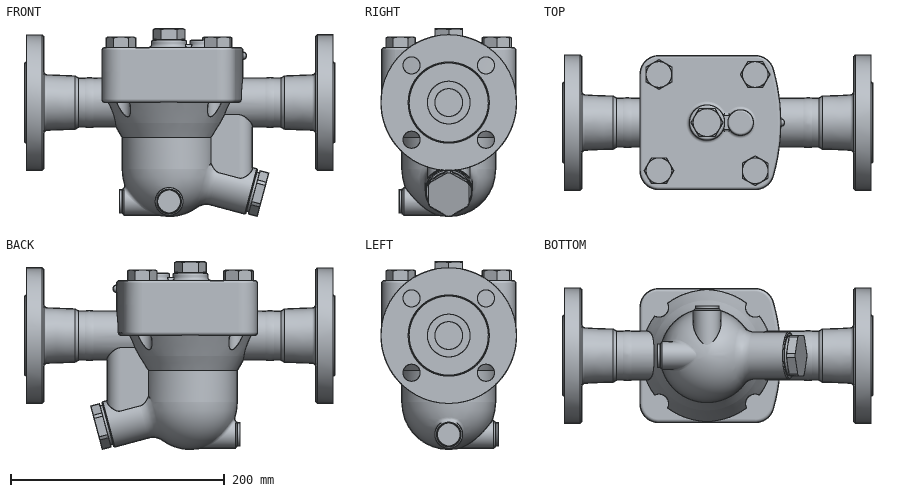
import cadquery as cq
import math


PICK_MARGIN = 0.5

FACE_TO_FACE = 290.0
PIPE_CENTRE_X = 10.0
PIPE_RADIUS = 23.0
FLANGE_RADIUS = 63.5
FLANGE_THICKNESS = 18.0
FLANGE_EDGE_CHAMFER = 1.8
RAISED_FACE_HEIGHT = 1.6
RAISED_FACE_RADIUS = 38.0
RAISED_FACE_TAPER = 1.0
NECK_FILLET = 3.0
NECK_ROOT_RADIUS = 26.0
NECK_END_RADIUS = 25.0
NECK_END = 47.0
NECK_STEP_LENGTH = 3.5
BEAD_START = 56.5
BEAD_LENGTH = 8.0
BEAD_HEIGHT = 0.5
SOCKET_DIAMETER = 40.0
SOCKET_DEPTH = 10.0
BORE_DIAMETER = 26.0
BORE_DEPTH = 40.0
FLANGE_HOLE_DIAMETER = 16.0
FLANGE_HOLE_CIRCLE = 98.4
FLANGE_HOLE_COUNT = 4

HEAD_HALF_WIDTH = 62.75
HEAD_BULGE_X = 69.0
HEAD_BOTTOM_Z = 0.0
JOINT_Z = 29.0
COVER_TOP_Z = 51.4
COVER_EDGE_ROUND = 2.5
HEAD_BOTTOM_ROUND = 3.0
NUB_RADIUS = 3.5
NUB_Z = 43.8

BOLT_OFFSET = 45.0
BOLT_ACROSS_FLATS = 24.0
HEX_HEIGHT = 10.0
HEX_CHAMFER_HEIGHT = 1.0
SPOTFACE_RADIUS = 9.0
SPOTFACE_DEPTH = 20.0

MAIN_PAD_RADIUS = 16.5
SIDE_PAD_RADIUS = 12.0
SIDE_PAD_X = 31.4
PAD_HEIGHT = 7.0
PAD_ROUND = 2.0
PAD_BASE_FILLET = 3.0
WEB_WIDTH = 13.0
WEB_HEIGHT = 3.1
PLUG_TOP_Z = 69.1
PLUG_ACROSS_FLATS = 26.0
PLUG_NECK_RADIUS = 12.0

BOWL_RADIUS = 44.0
DOME_CENTRE_Z = -62.6
CONE_BOTTOM_Z = -32.7
CONE_BREAK_Z = -19.5
CONE_BREAK_RADIUS = 51.5
CONE_TOP_Z = 2.5
CONE_TOP_RADIUS = 62.6

BLOCK_END_X = 78.0
BLOCK_HALF_WIDTH = 20.0
BLOCK_CORNER_RADIUS = 12.7
STRAINER_MEETING_X = 60.0

STRAINER_TILT = 15.0
STRAINER_RADIUS = 22.0
STRAINER_ROOT = 46.0
STRAINER_LENGTH = 80.0
STRAINER_CHAMFER = 1.0
CAP_NECK_RADIUS = 19.0
CAP_START = 82.5
CAP_END = 91.0
CAP_ACROSS_FLATS = 38.0
CAP_DIAMETER = 42.0

DRAIN_Z = -92.5
DRAIN_BOSS_RADIUS = 13.0
DRAIN_BOSS_LENGTH = 43.5
DRAIN_BOSS_CHAMFER = 1.5
DRAIN_GROOVE_RADIUS = 10.5
DRAIN_GROOVE_WIDTH = 0.7
DRAIN_PLUG_RADIUS = 11.0
DRAIN_PLUG_END = 46.5
DRAIN_ROOT_FILLET = 3.0


def hexagon(across_flats, height):
    """Hexagonal prism standing on Z = 0 with two corners on the X axis."""
    return cq.Workplane("XY").polygon(6, across_flats / math.cos(math.pi / 6)).extrude(height)


def hex_head(across_flats):
    """Hexagonal head on Z = 0 whose top corners are chamfered down to the flats."""
    flat_radius = across_flats / 2
    corner_radius = flat_radius / math.cos(math.pi / 6)
    envelope = (
        cq.Workplane("XZ")
        .lineTo(corner_radius, 0)
        .lineTo(corner_radius, HEX_HEIGHT - HEX_CHAMFER_HEIGHT)
        .lineTo(flat_radius, HEX_HEIGHT)
        .lineTo(0, HEX_HEIGHT)
        .close()
        .revolve()
    )
    return hexagon(across_flats, HEX_HEIGHT).intersect(envelope)


def pipe_arm():
    """One flanged arm, revolved about Z with its sealing face at Z = 0 and the pipe running up."""
    neck_start = FLANGE_THICKNESS + NECK_FILLET
    fillet_middle = NECK_FILLET * (1 - math.sqrt(0.5))
    step_end = NECK_END + NECK_STEP_LENGTH
    bead_end = BEAD_START + BEAD_LENGTH
    arm = (
        cq.Workplane("XZ")
        .lineTo(RAISED_FACE_RADIUS - RAISED_FACE_TAPER, 0)
        .lineTo(RAISED_FACE_RADIUS, RAISED_FACE_HEIGHT)
        .lineTo(FLANGE_RADIUS, RAISED_FACE_HEIGHT)
        .lineTo(FLANGE_RADIUS, FLANGE_THICKNESS - FLANGE_EDGE_CHAMFER)
        .lineTo(FLANGE_RADIUS - FLANGE_EDGE_CHAMFER, FLANGE_THICKNESS)
        .lineTo(NECK_ROOT_RADIUS + NECK_FILLET, FLANGE_THICKNESS)
        .threePointArc(
            (NECK_ROOT_RADIUS + fillet_middle, FLANGE_THICKNESS + fillet_middle),
            (NECK_ROOT_RADIUS, neck_start),
        )
        .lineTo(NECK_END_RADIUS, NECK_END)
        .lineTo(PIPE_RADIUS, step_end)
        .lineTo(PIPE_RADIUS, BEAD_START)
        .threePointArc(
            (PIPE_RADIUS + BEAD_HEIGHT, BEAD_START + BEAD_LENGTH / 2),
            (PIPE_RADIUS, bead_end),
        )
        .lineTo(PIPE_RADIUS, FACE_TO_FACE / 2)
        .lineTo(0, FACE_TO_FACE / 2)
        .close()
        .revolve()
    )
    bolt_holes = (
        cq.Workplane("XY")
        .polarArray(FLANGE_HOLE_CIRCLE / 2, 180 / FLANGE_HOLE_COUNT, 360, FLANGE_HOLE_COUNT)
        .circle(FLANGE_HOLE_DIAMETER / 2)
        .extrude(FLANGE_THICKNESS)
    )
    return arm.cut(bolt_holes)


def arm_bore():
    """Stepped inlet bore of one arm, in the same position as pipe_arm."""
    socket = cq.Workplane("XY").circle(SOCKET_DIAMETER / 2).extrude(SOCKET_DEPTH)
    return socket.union(cq.Workplane("XY").circle(BORE_DIAMETER / 2).extrude(BORE_DEPTH))


def place_on_pipe(shape, side):
    """Move a shape made at Z = 0 to the left (-1) or right (+1) end of the pipe line."""
    turned = shape.rotate((0, 0, 0), (0, 1, 0), -90 * side)
    return turned.translate((PIPE_CENTRE_X + side * FACE_TO_FACE / 2, 0, 0))


def head_outline(z):
    """Rounded square whose +X side is an arc tangent to its two corner arcs."""
    corner = HEAD_HALF_WIDTH - BOLT_OFFSET
    gap = HEAD_BULGE_X - BOLT_OFFSET
    bulge = (gap**2 + BOLT_OFFSET**2 - corner**2) / (2 * (gap - corner))
    turn = math.asin(BOLT_OFFSET / (bulge - corner))
    touch_x = BOLT_OFFSET + corner * math.cos(turn)
    touch_y = BOLT_OFFSET + corner * math.sin(turn)
    return (
        cq.Workplane("XY", origin=(0, 0, z))
        .moveTo(-BOLT_OFFSET, -HEAD_HALF_WIDTH)
        .lineTo(BOLT_OFFSET, -HEAD_HALF_WIDTH)
        .radiusArc((touch_x, -touch_y), -corner)
        .threePointArc((HEAD_BULGE_X, 0), (touch_x, touch_y))
        .radiusArc((BOLT_OFFSET, HEAD_HALF_WIDTH), -corner)
        .lineTo(-BOLT_OFFSET, HEAD_HALF_WIDTH)
        .radiusArc((-HEAD_HALF_WIDTH, BOLT_OFFSET), -corner)
        .lineTo(-HEAD_HALF_WIDTH, -BOLT_OFFSET)
        .radiusArc((-BOLT_OFFSET, -HEAD_HALF_WIDTH), -corner)
        .close()
    )


def body_flange():
    block = head_outline(HEAD_BOTTOM_Z).extrude(JOINT_Z - HEAD_BOTTOM_Z)
    return block.faces("<Z").edges().fillet(HEAD_BOTTOM_ROUND)


def cover():
    """Cover plate with two round pads, the web between them and the nub on the bulged side."""
    plate = head_outline(JOINT_Z).extrude(COVER_TOP_Z - JOINT_Z)
    plate = plate.faces(">Z").edges().fillet(COVER_EDGE_ROUND)
    top = cq.Workplane("XY", origin=(0, 0, COVER_TOP_Z))
    web = top.center(SIDE_PAD_X / 2, 0).rect(SIDE_PAD_X, WEB_WIDTH).extrude(WEB_HEIGHT)
    pads = web
    for pad_x, pad_radius in ((0, MAIN_PAD_RADIUS), (SIDE_PAD_X, SIDE_PAD_RADIUS)):
        pad = top.center(pad_x, 0).circle(pad_radius).extrude(PAD_HEIGHT)
        pads = pads.union(pad.faces(">Z").edges().fillet(PAD_ROUND))
    plate = plate.union(pads)
    reach = MAIN_PAD_RADIUS + PICK_MARGIN
    side_reach = SIDE_PAD_X + SIDE_PAD_RADIUS + PICK_MARGIN
    pad_zone = cq.selectors.BoxSelector(
        (-reach, -reach, COVER_TOP_Z - PICK_MARGIN),
        (side_reach, reach, COVER_TOP_Z + PICK_MARGIN),
    )
    plate = plate.edges(pad_zone).fillet(PAD_BASE_FILLET)
    nub = cq.Workplane("XY").sphere(NUB_RADIUS).translate((HEAD_BULGE_X, 0, NUB_Z))
    return plate.union(nub)


def centre_plug():
    hex_bottom = PLUG_TOP_Z - HEX_HEIGHT
    neck = (
        cq.Workplane("XY", origin=(0, 0, COVER_TOP_Z))
        .circle(PLUG_NECK_RADIUS)
        .extrude(hex_bottom - COVER_TOP_Z)
    )
    return neck.union(hex_head(PLUG_ACROSS_FLATS).translate((0, 0, hex_bottom)))


def bolt_positions():
    return [(x, y) for x in (-BOLT_OFFSET, BOLT_OFFSET) for y in (-BOLT_OFFSET, BOLT_OFFSET)]


def bolt_head(x, y):
    """Bolt head on the cover; neighbouring bolts are turned by 90 degrees."""
    turn = 0 if x * y > 0 else 90
    return hex_head(BOLT_ACROSS_FLATS).rotate((0, 0, 0), (0, 0, 1), turn).translate((x, y, COVER_TOP_Z))


def bowl():
    """Conical shoulder, straight wall and hemispherical bottom."""
    diagonal = BOWL_RADIUS * math.sqrt(0.5)
    return (
        cq.Workplane("XZ")
        .moveTo(0, CONE_TOP_Z)
        .lineTo(CONE_TOP_RADIUS, CONE_TOP_Z)
        .lineTo(CONE_BREAK_RADIUS, CONE_BREAK_Z)
        .lineTo(BOWL_RADIUS, CONE_BOTTOM_Z)
        .lineTo(BOWL_RADIUS, DOME_CENTRE_Z)
        .threePointArc((diagonal, DOME_CENTRE_Z - diagonal), (0, DOME_CENTRE_Z - BOWL_RADIUS))
        .close()
        .revolve()
    )


def spotface(x, y):
    """Clearance under one bolt, cut into the conical shoulder below the head."""
    return (
        cq.Workplane("XY", origin=(x, y, HEAD_BOTTOM_Z))
        .circle(SPOTFACE_RADIUS)
        .extrude(-SPOTFACE_DEPTH)
    )


def drain(axis, direction):
    """Drain boss and plug reaching from the Z axis out to -X or -Y."""
    groove_end = DRAIN_BOSS_LENGTH + DRAIN_GROOVE_WIDTH
    return (
        cq.Workplane("XZ")
        .lineTo(DRAIN_BOSS_RADIUS, 0)
        .lineTo(DRAIN_BOSS_RADIUS, DRAIN_BOSS_LENGTH - DRAIN_BOSS_CHAMFER)
        .lineTo(DRAIN_BOSS_RADIUS - DRAIN_BOSS_CHAMFER, DRAIN_BOSS_LENGTH)
        .lineTo(DRAIN_GROOVE_RADIUS, DRAIN_BOSS_LENGTH)
        .lineTo(DRAIN_GROOVE_RADIUS, groove_end)
        .lineTo(DRAIN_PLUG_RADIUS, groove_end)
        .lineTo(DRAIN_PLUG_RADIUS, DRAIN_PLUG_END)
        .lineTo(0, DRAIN_PLUG_END)
        .close()
        .revolve()
        .rotate((0, 0, 0), axis, direction)
        .translate((0, 0, DRAIN_Z))
    )


def bowl_with_drains():
    """Bowl with both drain bosses; the -X boss has a fillet where it leaves the dome."""
    body = bowl().union(drain((0, 1, 0), -90))
    root_zone = cq.selectors.BoxSelector(
        (-DRAIN_BOSS_LENGTH + DRAIN_BOSS_CHAMFER + PICK_MARGIN, -BOWL_RADIUS, DRAIN_Z - BOWL_RADIUS),
        (-PICK_MARGIN, BOWL_RADIUS, DRAIN_Z + DRAIN_BOSS_RADIUS),
    )
    body = body.edges(root_zone).edges("not %CIRCLE").fillet(DRAIN_ROOT_FILLET)
    return body.union(drain((1, 0, 0), 90))


def strainer_block():
    """Upright web below the pipe with rounded +X corners, ending on the strainer axis."""
    bottom_z = DOME_CENTRE_Z - STRAINER_MEETING_X * math.tan(math.radians(STRAINER_TILT))
    return (
        cq.Workplane("XY", origin=(0, 0, bottom_z))
        .rect(BLOCK_END_X, 2 * BLOCK_HALF_WIDTH)
        .extrude(-bottom_z)
        .translate((BLOCK_END_X / 2, 0, 0))
        .edges("|Z and >X")
        .fillet(BLOCK_CORNER_RADIUS)
    )


def strainer():
    """Strainer barrel and hexagonal cap, flared into the dome and tilted below +X."""
    flare = (STRAINER_ROOT**2 + STRAINER_RADIUS**2 - BOWL_RADIUS**2) / (
        2 * (BOWL_RADIUS - STRAINER_RADIUS)
    )
    contact = BOWL_RADIUS / (BOWL_RADIUS + flare)
    dome_contact = (contact * (STRAINER_RADIUS + flare), contact * STRAINER_ROOT)
    chamfer_start = STRAINER_LENGTH - STRAINER_CHAMFER
    barrel = (
        cq.Workplane("XZ")
        .lineTo(dome_contact[0], 0)
        .lineTo(*dome_contact)
        .radiusArc((STRAINER_RADIUS, STRAINER_ROOT), flare)
        .lineTo(STRAINER_RADIUS, chamfer_start)
        .lineTo(STRAINER_RADIUS - STRAINER_CHAMFER, STRAINER_LENGTH)
        .lineTo(CAP_NECK_RADIUS, STRAINER_LENGTH)
        .lineTo(CAP_NECK_RADIUS, CAP_START)
        .lineTo(0, CAP_START)
        .close()
        .revolve()
    )
    cap_height = CAP_END - CAP_START
    corner_trim = cq.Workplane("XY").circle(CAP_DIAMETER / 2).extrude(cap_height)
    cap = hexagon(CAP_ACROSS_FLATS, cap_height).intersect(corner_trim)
    upright = barrel.union(cap.translate((0, 0, CAP_START)))
    tilted = upright.rotate((0, 0, 0), (0, 1, 0), 90 + STRAINER_TILT)
    return tilted.translate((0, 0, DOME_CENTRE_Z))


def assemble():
    trap = bowl_with_drains()
    for x, y in bolt_positions():
        trap = trap.cut(spotface(x, y))
    for part in (strainer_block(), strainer(), body_flange()):
        trap = trap.union(part)
    for side in (-1, 1):
        trap = trap.union(place_on_pipe(pipe_arm(), side))
    for part in (cover(), centre_plug()):
        trap = trap.union(part, clean=False)
    for x, y in bolt_positions():
        trap = trap.union(bolt_head(x, y), clean=False)
    for side in (-1, 1):
        trap = trap.cut(place_on_pipe(arm_bore(), side), clean=False)
    return trap


result = assemble()